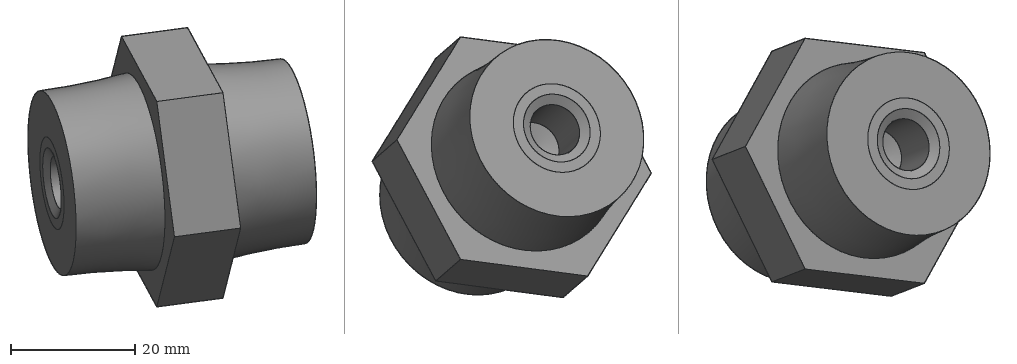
import cadquery as cq
import math


CORNER_WIDTH = 43.9
LENGTH = 40.0
HEX_THICKNESS = 11.0
END_RADIUS = 15.0
ROOT_RADIUS = 16.0

INSERT_RADIUS = 7.5
INSERT_LENGTH = 15.0
BORE_RADIUS = 4.25
BORE_DEPTH = 10.0
MOUTH_RADIUS = 5.75
COUNTERSINK_ANGLE = 120.0
DRILL_POINT_ANGLE = 150.0

HALF_LENGTH = LENGTH / 2
HALF_HEX = HEX_THICKNESS / 2
ENDS = (-1, 1)


def cone_height(radius, included_angle):
    """Height of a cone of the given base radius and included angle."""
    return radius / math.tan(math.radians(included_angle / 2))


def revolve_about_y(profile):
    """Turn a closed half profile, drawn with X as the radius, about the Y axis."""
    return profile.revolve(360, (0, 0, 0), (0, 1, 0))


def make_hexagon():
    """Hexagonal collar with two corners on the X axis."""
    return (
        cq.Workplane("XZ")
        .polygon(6, CORNER_WIDTH)
        .extrude(HALF_HEX, both=True)
    )


def make_barrel(side):
    """Round boss whose side is an arc, parallel to the axis at the end face."""
    flare = ROOT_RADIUS - END_RADIUS
    barrel_length = HALF_LENGTH - HALF_HEX
    arc_radius = (barrel_length**2 + flare**2) / (2 * flare)
    half_angle = math.asin(barrel_length / arc_radius) / 2
    arc_middle = (
        END_RADIUS + arc_radius * (1 - math.cos(half_angle)),
        side * (HALF_LENGTH - arc_radius * math.sin(half_angle)),
    )
    return revolve_about_y(
        cq.Workplane("XY")
        .lineTo(0, side * HALF_LENGTH)
        .lineTo(END_RADIUS, side * HALF_LENGTH)
        .threePointArc(arc_middle, (ROOT_RADIUS, side * HALF_HEX))
        .lineTo(ROOT_RADIUS, 0)
        .close()
    )


def make_insert_pocket(side):
    """Blind cylinder that an insert fills."""
    return revolve_about_y(
        cq.Workplane("XY")
        .moveTo(0, side * HALF_LENGTH)
        .lineTo(INSERT_RADIUS, side * HALF_LENGTH)
        .lineTo(INSERT_RADIUS, side * (HALF_LENGTH - INSERT_LENGTH))
        .lineTo(0, side * (HALF_LENGTH - INSERT_LENGTH))
        .close()
    )


def make_insulator():
    """Hexagon and both barrels as one solid, with a pocket in each end."""
    body = make_hexagon()
    for side in ENDS:
        body = body.union(make_barrel(side))
    for side in ENDS:
        body = body.cut(make_insert_pocket(side))
    return body


def make_insert(side):
    """Bush flush with the end face, with a countersunk blind drilled bore."""
    outer_face = side * HALF_LENGTH
    inner_face = side * (HALF_LENGTH - INSERT_LENGTH)
    countersink_depth = cone_height(MOUTH_RADIUS - BORE_RADIUS, COUNTERSINK_ANGLE)
    point_depth = BORE_DEPTH + cone_height(BORE_RADIUS, DRILL_POINT_ANGLE)
    return revolve_about_y(
        cq.Workplane("XY")
        .moveTo(0, inner_face)
        .lineTo(INSERT_RADIUS, inner_face)
        .lineTo(INSERT_RADIUS, outer_face)
        .lineTo(MOUTH_RADIUS, outer_face)
        .lineTo(BORE_RADIUS, side * (HALF_LENGTH - countersink_depth))
        .lineTo(BORE_RADIUS, side * (HALF_LENGTH - BORE_DEPTH))
        .lineTo(0, side * (HALF_LENGTH - point_depth))
        .close()
    )


insulator = make_insulator()
inserts = [make_insert(side) for side in ENDS]

result = cq.Compound.makeCompound([insulator.val(), *(insert.val() for insert in inserts)])